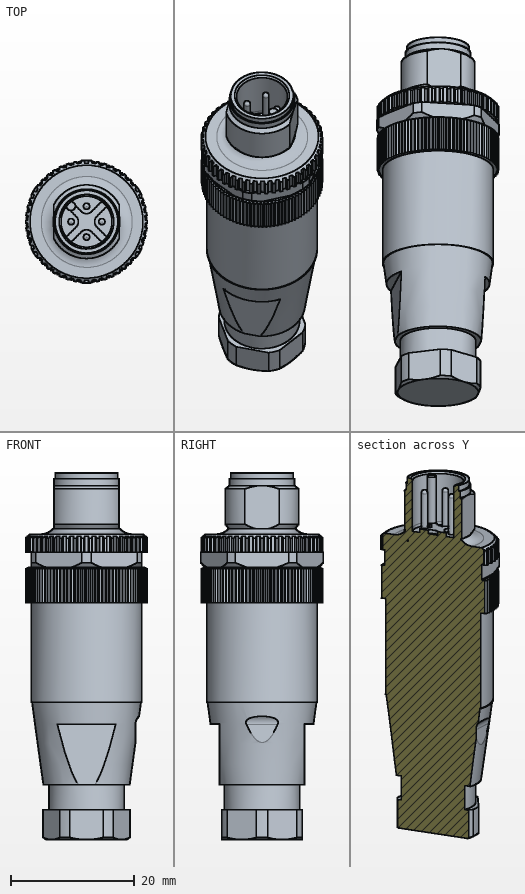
import cadquery as cq
import math

OVERLAP = 0.3

NUT_TOP = 4.9
TAPER_BOTTOM = 8.9
TAPER_FLAT_TOP = 18.8
TAPER_TOP = 22.35
GRIP_BOTTOM = 38.5
GRIP_TOP = 44.2
RING_BOTTOM = 46.7
RING_TOP = 49.65
PLUG_BOTTOM = 50.55
PLUG_TOP = 57.5
TIP_BOTTOM = 58.65
OVERALL_HEIGHT = 59.6

NUT_ACROSS_FLATS = 13.1
NUT_CORNER_RADIUS = 7.1
NUT_CHAMFER_RADIAL = 0.55
NUT_CHAMFER_HEIGHT = 0.35
NECK_DIAMETER = 12.3

BODY_DIAMETER = 18.0
TAPER_TOP_RADIUS = 8.9
TAPER_BOTTOM_RADIUS = 7.05
TAPER_FLAT_SPACING = 13.8
THUMB_FLAT_OFFSET = 8.0
THUMB_RUNOUT_RADIUS = 1.65

GRIP_RADIUS = 9.85
GRIP_TEETH = 100
GRIP_TOOTH_HEIGHT = 0.25
GRIP_CHAMFER_RADIAL = 0.4
GRIP_CHAMFER_HEIGHT = 0.25
HEX_ACROSS_FLATS = 18.0
HEX_CORNER_DIAMETER = 19.95
HEX_BOTTOM_RADIUS = 9.3
HEX_CHAMFER_HEIGHT = 0.8
RING_RADIUS = 9.9
RING_GROOVES = 50
RING_GROOVE_MOUTH = 0.85
RING_GROOVE_FLOOR = 0.55
RING_GROOVE_DEPTH = 0.35
RING_CHAMFER_RADIAL = 0.7
RING_CHAMFER_HEIGHT = 0.65

FLARE_RADIUS = 7.4
PLUG_FOOT_RADIUS = 5.4
PLUG_DIAMETER = 12.0
PLUG_FOOT_CHAMFER_HEIGHT = 0.7
PLUG_TOP_CHAMFER_HEIGHT = 0.55
THREAD_RADIUS = 5.3
TIP_DIAMETER = 10.2

BORE_DIAMETER = 8.3
BORE_DEPTH = 8.35
BORE_CHAMFER = 0.3
POCKET_RADIUS = 1.2
POCKET_DEPTH = 0.6
PIN_DIAMETER = 1.0
PIN_TIP_FILLET = 0.49
PIN_CIRCLE_RADIUS = 2.5
PIN_TOP = 57.4
PIN_COUNT = 4
PIN_FOOT = OVERALL_HEIGHT - BORE_DEPTH - POCKET_DEPTH - OVERLAP
KEY_RADIUS = 0.7
KEY_CIRCLE_RADIUS = 3.6
KEY_ANGLE = math.radians(135)
KEY_TOP = 59.05


def cylinder(radius, bottom, top):
    return cq.Workplane("XY").workplane(offset=bottom).circle(radius).extrude(top - bottom)


def revolve(points):
    """Turn a closed (radius, height) outline about the Z axis."""
    return cq.Workplane("XZ").polyline(points).close().revolve(360, (0, 0), (0, 1))


def polar(radius, angle):
    """Point at the given radius and angle in radians."""
    return radius * math.cos(angle), radius * math.sin(angle)


def hexagon(across_flats, bottom, top, turn):
    corner_diameter = across_flats / math.cos(math.pi / 6)
    prism = cq.Workplane("XY").workplane(offset=bottom).polygon(6, corner_diameter).extrude(top - bottom)
    return prism.rotate((0, 0, 0), (0, 0, 1), turn)


def sharp_knurl():
    """Grip disc with pointed teeth all around."""
    points = []
    for index in range(GRIP_TEETH):
        crest = 2 * math.pi * index / GRIP_TEETH
        points.append(polar(GRIP_RADIUS, crest))
        points.append(polar(GRIP_RADIUS - GRIP_TOOTH_HEIGHT, crest + math.pi / GRIP_TEETH))
    outline = cq.Workplane("XY").workplane(offset=GRIP_BOTTOM).polyline(points).close()
    return outline.extrude(GRIP_TOP - GRIP_BOTTOM)


def grooved_knurl():
    """Ring disc with evenly spaced tapered grooves; a crest lies on the X axis."""
    pitch = 2 * math.pi / RING_GROOVES
    half_mouth = RING_GROOVE_MOUTH / 2 / RING_RADIUS
    half_floor = RING_GROOVE_FLOOR / 2 / RING_RADIUS
    floor_radius = RING_RADIUS - RING_GROOVE_DEPTH
    start = polar(RING_RADIUS, half_mouth - pitch / 2)
    outline = cq.Workplane("XY").workplane(offset=RING_BOTTOM).moveTo(*start)
    for index in range(RING_GROOVES):
        crest = index * pitch
        valley = crest + pitch / 2
        outline = (
            outline
            .threePointArc(polar(RING_RADIUS, crest), polar(RING_RADIUS, valley - half_mouth))
            .lineTo(*polar(floor_radius, valley - half_floor))
            .threePointArc(polar(floor_radius, valley), polar(floor_radius, valley + half_floor))
            .lineTo(*polar(RING_RADIUS, valley + half_mouth))
        )
    return outline.close().extrude(RING_TOP - RING_BOTTOM)


def cable_nut():
    envelope = revolve([
        (0, 0),
        (NUT_CORNER_RADIUS - NUT_CHAMFER_RADIAL, 0),
        (NUT_CORNER_RADIUS, NUT_CHAMFER_HEIGHT),
        (NUT_CORNER_RADIUS, NUT_TOP),
        (0, NUT_TOP),
    ])
    return hexagon(NUT_ACROSS_FLATS, 0, NUT_TOP, 0).intersect(envelope)


def tapered_sleeve():
    sleeve = revolve([
        (0, TAPER_BOTTOM),
        (TAPER_BOTTOM_RADIUS, TAPER_BOTTOM),
        (TAPER_TOP_RADIUS, TAPER_TOP),
        (0, TAPER_TOP),
    ])
    for side in (-1, 1):
        block = cq.Workplane("XY").box(
            BODY_DIAMETER, BODY_DIAMETER, TAPER_FLAT_TOP, centered=(True, True, False)
        )
        sleeve = sleeve.cut(block.translate((0, side * (TAPER_FLAT_SPACING + BODY_DIAMETER) / 2, 0)))
    runout_end = (THUMB_FLAT_OFFSET + THUMB_RUNOUT_RADIUS, TAPER_FLAT_TOP + THUMB_RUNOUT_RADIUS)
    thumb_flat = (
        cq.Workplane("XZ")
        .moveTo(THUMB_FLAT_OFFSET, TAPER_BOTTOM)
        .lineTo(THUMB_FLAT_OFFSET, TAPER_FLAT_TOP)
        .tangentArcPoint(runout_end, relative=False)
        .lineTo(runout_end[0], TAPER_BOTTOM)
        .close()
        .extrude(BODY_DIAMETER / 2, both=True)
    )
    return sleeve.cut(thumb_flat)


def grip():
    envelope = revolve([
        (0, GRIP_BOTTOM),
        (GRIP_RADIUS, GRIP_BOTTOM),
        (GRIP_RADIUS, GRIP_TOP - GRIP_CHAMFER_HEIGHT),
        (GRIP_RADIUS - GRIP_CHAMFER_RADIAL, GRIP_TOP),
        (0, GRIP_TOP),
    ])
    return sharp_knurl().intersect(envelope)


def coupling_hexagon():
    envelope = revolve([
        (0, GRIP_TOP),
        (HEX_BOTTOM_RADIUS, GRIP_TOP),
        (HEX_CORNER_DIAMETER / 2, GRIP_TOP + HEX_CHAMFER_HEIGHT),
        (HEX_CORNER_DIAMETER / 2, RING_BOTTOM),
        (0, RING_BOTTOM),
    ])
    return hexagon(HEX_ACROSS_FLATS, GRIP_TOP, RING_BOTTOM, 30).intersect(envelope)


def coupling_ring():
    envelope = revolve([
        (0, RING_BOTTOM),
        (RING_RADIUS, RING_BOTTOM),
        (RING_RADIUS, RING_TOP - RING_CHAMFER_HEIGHT),
        (RING_RADIUS - RING_CHAMFER_RADIAL, RING_TOP),
        (0, RING_TOP),
    ])
    return grooved_knurl().intersect(envelope)


def flare():
    """Concave foot, level with the ring at its rim, that leads up to the plug."""
    run = FLARE_RADIUS - PLUG_FOOT_RADIUS
    rise = PLUG_BOTTOM - RING_TOP
    arc_radius = (run**2 + rise**2) / (2 * rise)
    return (
        cq.Workplane("XZ")
        .moveTo(0, RING_TOP - OVERLAP)
        .lineTo(FLARE_RADIUS, RING_TOP - OVERLAP)
        .lineTo(FLARE_RADIUS, RING_TOP)
        .radiusArc((PLUG_FOOT_RADIUS, PLUG_BOTTOM), arc_radius)
        .lineTo(0, PLUG_BOTTOM)
        .close()
        .revolve(360, (0, 0), (0, 1))
    )


def plug():
    turned = revolve([
        (0, PLUG_BOTTOM),
        (PLUG_FOOT_RADIUS, PLUG_BOTTOM),
        (PLUG_DIAMETER / 2, PLUG_BOTTOM + PLUG_FOOT_CHAMFER_HEIGHT),
        (PLUG_DIAMETER / 2, PLUG_TOP - PLUG_TOP_CHAMFER_HEIGHT),
        (THREAD_RADIUS, PLUG_TOP),
        (THREAD_RADIUS, TIP_BOTTOM),
        (TIP_DIAMETER / 2, TIP_BOTTOM),
        (TIP_DIAMETER / 2, OVERALL_HEIGHT),
        (0, OVERALL_HEIGHT),
    ])
    slab = cq.Workplane("XY").box(
        2 * THREAD_RADIUS, PLUG_DIAMETER, OVERALL_HEIGHT, centered=(True, True, False)
    )
    return turned.intersect(slab)


def socket_cut():
    floor = OVERALL_HEIGHT - BORE_DEPTH
    bore_radius = BORE_DIAMETER / 2
    bore = revolve([
        (0, floor),
        (bore_radius, floor),
        (bore_radius, OVERALL_HEIGHT - BORE_CHAMFER),
        (bore_radius + BORE_CHAMFER, OVERALL_HEIGHT),
        (0, OVERALL_HEIGHT),
    ])
    tangent_point = POCKET_RADIUS * math.sqrt(0.5)
    arm_length = BORE_DIAMETER
    pocket = (
        cq.Workplane("XY")
        .workplane(offset=floor - POCKET_DEPTH)
        .moveTo(PIN_CIRCLE_RADIUS - tangent_point, tangent_point)
        .threePointArc(
            (PIN_CIRCLE_RADIUS - POCKET_RADIUS, 0),
            (PIN_CIRCLE_RADIUS - tangent_point, -tangent_point),
        )
        .lineTo(PIN_CIRCLE_RADIUS - tangent_point + arm_length, -tangent_point - arm_length)
        .lineTo(PIN_CIRCLE_RADIUS - tangent_point + arm_length, tangent_point + arm_length)
        .close()
        .extrude(POCKET_DEPTH)
        .intersect(cylinder(bore_radius, floor - POCKET_DEPTH, floor))
    )
    for index in range(PIN_COUNT):
        bore = bore.union(pocket.rotate((0, 0, 0), (0, 0, 1), index * 360 / PIN_COUNT))
    return bore


def contact_pin(index):
    """Round-tipped pin, rooted in the floor of its pocket."""
    pin = cylinder(PIN_DIAMETER / 2, PIN_FOOT, PIN_TOP).faces(">Z").edges().fillet(PIN_TIP_FILLET)
    x, y = polar(PIN_CIRCLE_RADIUS, 2 * math.pi * index / PIN_COUNT)
    return pin.translate((x, y, 0))


def coding_key():
    """Round rib along the socket wall."""
    x, y = polar(KEY_CIRCLE_RADIUS, KEY_ANGLE)
    return cylinder(KEY_RADIUS, PIN_FOOT, KEY_TOP).translate((x, y, 0))


result = (
    cable_nut()
    .union(cylinder(NECK_DIAMETER / 2, NUT_TOP, TAPER_BOTTOM))
    .union(tapered_sleeve())
    .union(cylinder(BODY_DIAMETER / 2, TAPER_TOP, GRIP_BOTTOM))
    .union(grip())
    .union(coupling_hexagon())
    .union(coupling_ring())
    .union(flare())
    .union(plug())
    .cut(socket_cut())
    .union(coding_key())
)
for pin_index in range(PIN_COUNT):
    result = result.union(contact_pin(pin_index))